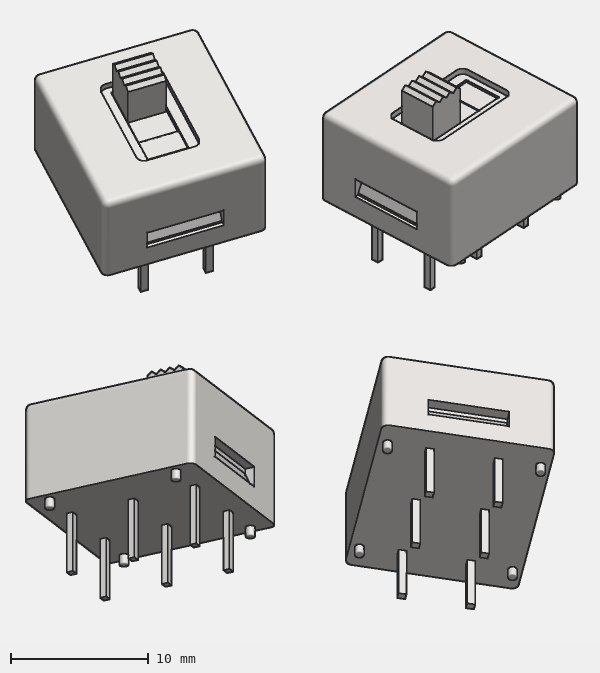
import cadquery as cq

BODY_LENGTH = 14.0
BODY_WIDTH = 12.8
BODY_HEIGHT = 7.7
EDGE_RADIUS = 0.5

POCKET_LENGTH = 8.13
POCKET_WIDTH = 4.9
POCKET_RADIUS = 0.61
POCKET_DEPTH = 0.5

OPENING_LENGTH = 7.15
OPENING_WIDTH = 3.19
OPENING_DEPTH = 0.2

SLOT_LENGTH = 5.17
SLOT_WIDTH = 3.1
SLOT_DEPTH = 0.09

LEVER_LENGTH = 3.0
LEVER_WIDTH = 3.0
LEVER_RISE = 2.8
TOOTH_COUNT = 4
TOOTH_HEIGHT = 0.29

WINDOW_WIDTH = 6.0
WINDOW_HEIGHT = 1.58
WINDOW_BOTTOM = 1.8
WINDOW_DEPTH = 0.76
CATCH_SIDE_GAP = 0.05
CATCH_SETBACK = 0.3
CATCH_LIP = 0.18
CATCH_HEIGHT = 1.19

PIN_LENGTH = 4.7
PIN_THICKNESS = 0.5
PIN_WIDTH = 0.6
PIN_PITCH = 5.09
PIN_ROW_SPACING = 5.09

STANDOFF_DIAMETER = 0.7
STANDOFF_HEIGHT = 0.78
STANDOFF_END_RADIUS = 0.1
STANDOFF_X = 5.21
STANDOFF_Y = 5.67

POCKET_FLOOR = BODY_HEIGHT - POCKET_DEPTH
OPENING_FLOOR = POCKET_FLOOR - OPENING_DEPTH
SLOT_FLOOR = OPENING_FLOOR - SLOT_DEPTH
LEVER_END_X = -OPENING_LENGTH / 2


def make_housing():
    """Block with rounded vertical and top edges and a sharp bottom rim."""
    block = cq.Workplane("XY").box(BODY_LENGTH, BODY_WIDTH, BODY_HEIGHT, centered=(True, True, False))
    return block.edges("|Z or >Z").fillet(EDGE_RADIUS)


def make_top_cutout():
    """Pocket, opening and slot stepping down from the top face."""
    pocket = (
        cq.Workplane("XY", origin=(0, 0, POCKET_FLOOR))
        .rect(POCKET_LENGTH, POCKET_WIDTH)
        .extrude(POCKET_DEPTH)
        .edges("|Z")
        .fillet(POCKET_RADIUS)
    )
    opening = (
        cq.Workplane("XY", origin=(0, 0, OPENING_FLOOR))
        .rect(OPENING_LENGTH, OPENING_WIDTH)
        .extrude(OPENING_DEPTH)
    )
    slot = (
        cq.Workplane("XY", origin=(LEVER_END_X + SLOT_LENGTH / 2, 0, SLOT_FLOOR))
        .rect(SLOT_LENGTH, SLOT_WIDTH)
        .extrude(SLOT_DEPTH)
    )
    return pocket.union(opening).union(slot)


def make_lever():
    """Square post standing on the slot floor, topped by ridges that run along Y."""
    ridge_z = BODY_HEIGHT + LEVER_RISE
    valley_z = ridge_z - TOOTH_HEIGHT
    tooth_pitch = LEVER_LENGTH / TOOTH_COUNT
    profile = [(LEVER_END_X, SLOT_FLOOR), (LEVER_END_X, valley_z)]
    for i in range(TOOTH_COUNT):
        profile.append((LEVER_END_X + (i + 0.5) * tooth_pitch, ridge_z))
        profile.append((LEVER_END_X + (i + 1) * tooth_pitch, valley_z))
    profile.append((LEVER_END_X + LEVER_LENGTH, SLOT_FLOOR))
    return cq.Workplane("XZ").polyline(profile).close().extrude(LEVER_WIDTH / 2, both=True)


def make_window_cutout():
    """Space removed from the -X end face: a rectangular window less its catch."""
    outer_x = -BODY_LENGTH / 2
    back_x = outer_x + WINDOW_DEPTH
    front_x = outer_x + CATCH_SETBACK
    window = cq.Workplane("XY").box(
        WINDOW_DEPTH, WINDOW_WIDTH, WINDOW_HEIGHT, centered=(False, True, False)
    ).translate((outer_x, 0, WINDOW_BOTTOM))
    catch = (
        cq.Workplane("XZ")
        .moveTo(back_x, WINDOW_BOTTOM)
        .lineTo(front_x, WINDOW_BOTTOM)
        .lineTo(front_x, WINDOW_BOTTOM + CATCH_LIP)
        .lineTo(back_x, WINDOW_BOTTOM + CATCH_HEIGHT)
        .close()
        .extrude(WINDOW_WIDTH / 2 - CATCH_SIDE_GAP, both=True)
    )
    return window.cut(catch)


def make_pins():
    """Two rows of three rectangular pins below the housing."""
    return (
        cq.Workplane("XY")
        .rarray(PIN_PITCH, PIN_ROW_SPACING, 3, 2)
        .rect(PIN_THICKNESS, PIN_WIDTH)
        .extrude(-PIN_LENGTH)
    )


def make_standoffs():
    """Four round feet with rounded ends."""
    return (
        cq.Workplane("XY")
        .rect(2 * STANDOFF_X, 2 * STANDOFF_Y, forConstruction=True)
        .vertices()
        .circle(STANDOFF_DIAMETER / 2)
        .extrude(-STANDOFF_HEIGHT)
        .faces("<Z")
        .edges()
        .fillet(STANDOFF_END_RADIUS)
    )


window_cutout = make_window_cutout()

result = (
    make_housing()
    .cut(make_top_cutout())
    .cut(window_cutout)
    .cut(window_cutout.mirror("YZ"))
    .union(make_lever())
    .union(make_pins())
    .union(make_standoffs())
)